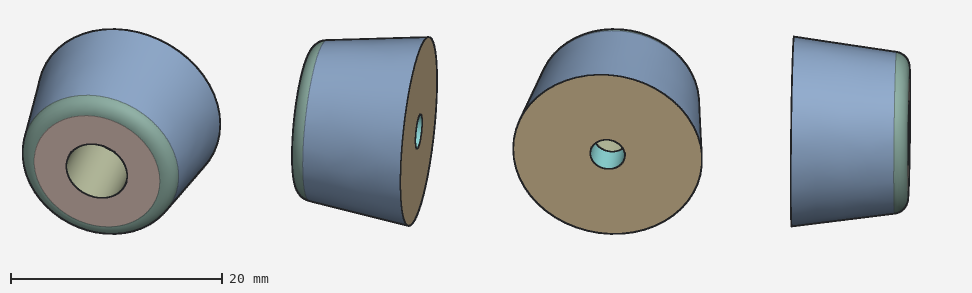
import cadquery as cq

base_diameter = 18.0
tip_diameter = 15.0
height = 11.0
tip_edge_radius = 1.5

bore_diameter = 6.0
screw_hole_diameter = 3.3
floor_thickness = 3.0
bore_depth = height - floor_thickness

tip_y = -height / 2
base_y = height / 2

body = (
    cq.Workplane("XY")
    .moveTo(0, tip_y)
    .lineTo(tip_diameter / 2, tip_y)
    .lineTo(base_diameter / 2, base_y)
    .lineTo(0, base_y)
    .close()
    .revolve(360, (0, 0, 0), (0, 1, 0))
)

body = body.faces("<Y").edges().fillet(tip_edge_radius)

result = body.faces("<Y").workplane(origin=(0, tip_y, 0)).cboreHole(
    screw_hole_diameter, bore_diameter, bore_depth
)